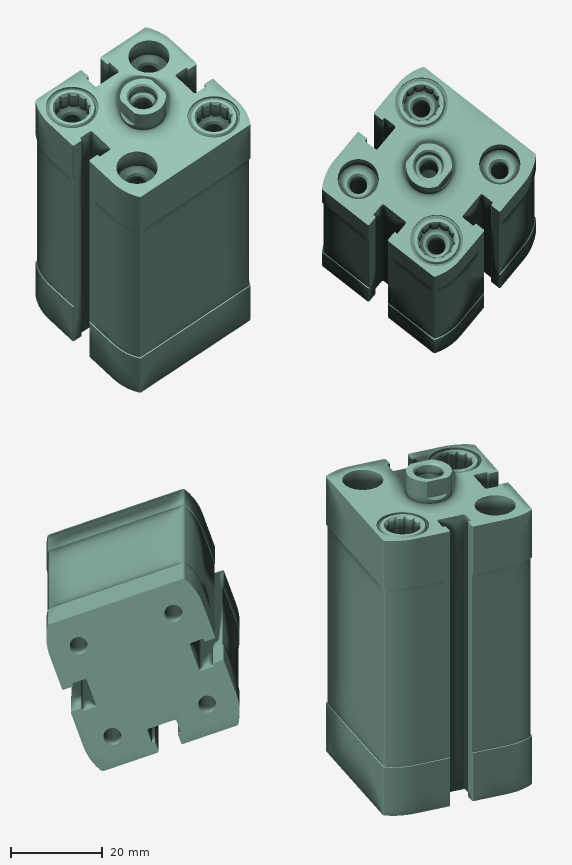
import cadquery as cq
import math

total_height = 74.25
side = 35.5
rod_protrusion = 5.5
housing_height = total_height - rod_protrusion
cap_height = 12.0

half_side = side / 2
hole_offset = 11.0
corner_arc_radius = 12.5
cap_corner_fillet = 0.6
tube_inset = 0.25
tube_corner_fillet = 0.8

slot_mouth_width = 5.3
slot_inner_width = 6.75
slot_lip_depth = 2.5
slot_depth = 5.8
slot_floor_fillet = 0.45
slot_lip_fillet = 0.2
slot_mouth_fillet = 0.3

through_diameter = 3.9
through_chamfer_diameter = 5.0
counterbore_diameter = 9.0
counterbore_depth = 5.0

recess_diameter = 11.5
recess_depth = 0.6
collar_base_diameter = 10.5
collar_top_diameter = 9.7
socket_bore_diameter = 7.5
socket_chamfer_diameter = 8.4
socket_chamfer_depth = 0.6
socket_point_diameter = 8.4
socket_square_count = 3
socket_depth = 4.5

rod_diameter = 10.0
rod_seat_depth = 17.8
flat_width = 8.8
flat_height = 4.1
rod_recess_diameter = 6.4
rod_recess_chamfer_diameter = 7.1
rod_recess_depth = 2.5
thread_diameter = 4.15
thread_chamfer_diameter = 5.0
thread_depth = 11.9
drill_point_angle = 118.0

match_tolerance = 0.01


def cone(base_diameter, top_diameter, base_z, top_z):
    """A cone frustum on the Z axis."""
    points = [
        (0, base_z),
        (base_diameter / 2, base_z),
        (top_diameter / 2, top_z),
        (0, top_z),
    ]
    return cq.Workplane("XZ").polyline(points).close().revolve(360, (0, 0), (0, 1))


def cylinder(diameter, bottom_z, top_z):
    """A cylinder on the Z axis."""
    return cq.Workplane("XY", origin=(0, 0, bottom_z)).circle(diameter / 2).extrude(top_z - bottom_z)


def cone_height(large_diameter, small_diameter):
    """Height of a 45 degree cone between two diameters."""
    return (large_diameter - small_diameter) / 2


def prism(inset, corner_fillet, bottom_z, height):
    """A length of the housing outline, set in evenly from the outermost sides."""
    edge = half_side - inset
    radius = corner_arc_radius - inset
    run = edge - hole_offset
    center_y = edge - radius

    def arc_y(x_from_start):
        return center_y + math.sqrt(radius**2 - x_from_start**2)

    corner_y = arc_y(run)
    middle_x = hole_offset + run / 2
    middle_y = arc_y(run / 2)
    outline = (
        cq.Workplane("XY", origin=(0, 0, bottom_z))
        .moveTo(-hole_offset, edge)
        .lineTo(hole_offset, edge)
        .threePointArc((middle_x, middle_y), (edge, corner_y))
        .lineTo(edge, -corner_y)
        .threePointArc((middle_x, -middle_y), (hole_offset, -edge))
        .lineTo(-hole_offset, -edge)
        .threePointArc((-middle_x, -middle_y), (-edge, -corner_y))
        .lineTo(-edge, corner_y)
        .threePointArc((-middle_x, middle_y), (-hole_offset, edge))
        .close()
    )
    solid = outline.extrude(height)
    return solid.edges("|Z and (<X or >X)").fillet(corner_fillet)


def is_lip_edge(edge):
    """True for an upright inner edge of a +Y slot's lips."""
    center = edge.Center()
    at_mouth_wall = math.isclose(abs(center.x), slot_mouth_width / 2, abs_tol=match_tolerance)
    at_lip = math.isclose(center.y, half_side - slot_lip_depth, abs_tol=match_tolerance)
    return at_mouth_wall and at_lip


def slot_cutters():
    """T-slots in the -X, -Y and +Y sides."""
    inner_depth = slot_depth - slot_lip_depth
    inner = (
        cq.Workplane("XY")
        .center(0, half_side - slot_lip_depth - inner_depth / 2)
        .rect(slot_inner_width, inner_depth)
        .extrude(housing_height)
        .edges("|Z and <Y")
        .fillet(slot_floor_fillet)
    )
    mouth = (
        cq.Workplane("XY")
        .center(0, half_side - slot_depth / 2)
        .rect(slot_mouth_width, slot_depth)
        .extrude(housing_height)
    )
    slot = inner.union(mouth).edges("|Z").filter(is_lip_edge).fillet(slot_lip_fillet)
    return [slot.rotate((0, 0, 0), (0, 0, 1), angle) for angle in (0, 90, 180)]


def is_slot_mouth_edge(edge):
    """True for an upright edge where a slot opens into an outer side."""
    center = edge.Center()
    across, outward = sorted((abs(center.x), abs(center.y)))
    at_mouth = math.isclose(across, slot_mouth_width / 2, abs_tol=match_tolerance)
    return at_mouth and math.isclose(outward, half_side, abs_tol=match_tolerance)


def cap(bottom_z):
    """An end cap with rounded slot mouths."""
    solid = prism(0, cap_corner_fillet, bottom_z, cap_height)
    for slot in slot_cutters():
        solid = solid.cut(slot)
    return solid.edges("|Z").filter(is_slot_mouth_edge).fillet(slot_mouth_fillet)


def tube():
    """The slightly narrower middle length of the housing."""
    solid = prism(tube_inset, tube_corner_fillet, cap_height, housing_height - 2 * cap_height)
    for slot in slot_cutters():
        solid = solid.cut(slot)
    return solid


def through_hole(floor_z):
    """A hole from the bottom face to a counterbore floor, chamfered at that floor."""
    chamfer = cone_height(through_chamfer_diameter, through_diameter)
    hole = cylinder(through_diameter, 0, floor_z)
    return hole.union(cone(through_diameter, through_chamfer_diameter, floor_z - chamfer, floor_z))


def counterbored_hole():
    """Cutter for a plain bolt hole."""
    floor_z = housing_height - counterbore_depth
    return through_hole(floor_z).union(cylinder(counterbore_diameter, floor_z, housing_height))


def socket_hole():
    """Cutter for a twelve-pointed socket inside a ring-shaped recess."""
    floor_z = housing_height - socket_depth
    cutter = through_hole(floor_z).union(cylinder(socket_bore_diameter, floor_z, housing_height))
    for index in range(socket_square_count):
        square = (
            cq.Workplane("XY", origin=(0, 0, floor_z))
            .polygon(4, socket_point_diameter)
            .extrude(socket_depth)
            .rotate((0, 0, 0), (0, 0, 1), index * 90 / socket_square_count)
        )
        cutter = cutter.union(square)

    lead_in_z = housing_height - socket_chamfer_depth
    lead_in = cone(socket_bore_diameter, socket_chamfer_diameter, lead_in_z, housing_height)

    recess_z = housing_height - recess_depth
    collar = cone(collar_base_diameter, collar_top_diameter, recess_z, housing_height)
    recess = cylinder(recess_diameter, recess_z, housing_height).cut(collar)
    return cutter.union(lead_in).union(recess)


def make_housing():
    """Caps and tube as one solid, with bolt holes and a seat for the rod."""
    body = tube().union(cap(0)).union(cap(housing_height - cap_height))
    for sign in (-1, 1):
        body = body.cut(socket_hole().translate((sign * hole_offset, sign * hole_offset, 0)))
        body = body.cut(counterbored_hole().translate((sign * hole_offset, -sign * hole_offset, 0)))
    return body.cut(cylinder(rod_diameter, housing_height - rod_seat_depth, housing_height))


def wrench_flat_cutter():
    """Material removed beside the -Y flat, with a 45 degree run-out at its lower end."""
    flat_y = -flat_width / 2
    flat_bottom = total_height - flat_height
    points = [
        (flat_y, total_height),
        (flat_y, flat_bottom),
        (flat_y - rod_diameter, flat_bottom - rod_diameter),
        (flat_y - rod_diameter, total_height),
    ]
    return cq.Workplane("YZ").polyline(points).close().extrude(rod_diameter / 2, both=True)


def rod_hole():
    """Cutter for the stepped, chamfered hole in the rod's end."""
    floor_z = total_height - rod_recess_depth
    thread_end_z = total_height - thread_depth
    recess_chamfer = cone_height(rod_recess_chamfer_diameter, rod_recess_diameter)
    thread_chamfer = cone_height(thread_chamfer_diameter, thread_diameter)
    point_depth = thread_diameter / 2 / math.tan(math.radians(drill_point_angle / 2))
    points = [
        (0, total_height),
        (rod_recess_chamfer_diameter / 2, total_height),
        (rod_recess_diameter / 2, total_height - recess_chamfer),
        (rod_recess_diameter / 2, floor_z),
        (thread_chamfer_diameter / 2, floor_z),
        (thread_diameter / 2, floor_z - thread_chamfer),
        (thread_diameter / 2, thread_end_z),
        (0, thread_end_z - point_depth),
    ]
    return cq.Workplane("XZ").polyline(points).close().revolve(360, (0, 0), (0, 1))


def make_rod():
    """Piston rod with two wrench flats and a drilled end."""
    body = cylinder(rod_diameter, housing_height - rod_seat_depth, total_height)
    flat = wrench_flat_cutter()
    return body.cut(flat).cut(flat.mirror("XZ")).cut(rod_hole())


housing = make_housing()
rod = make_rod()

result = cq.Compound.makeCompound([housing.val(), rod.val()])